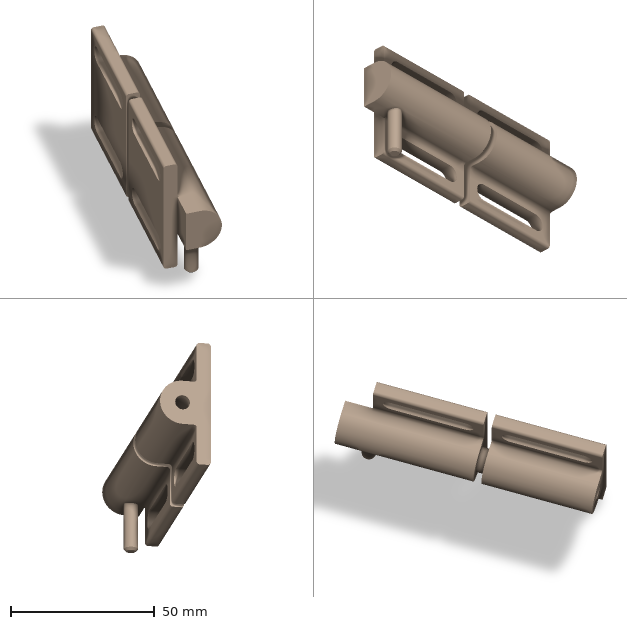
import cadquery as cq

total_length = 93.0
leaf_width = 40.0
leaf_gap = 3.0
leaf_height = 45.0
plate_thickness = 5.0
edge_radius = 1.0

barrel_radius = 8.0
axis_to_front = 10.0
plate_front = -axis_to_front
plate_back = plate_front + plate_thickness

slot_length = 32.7
slot_width = 6.5
slot_spacing = 30.5

bore_diameter = 5.2
shaft_diameter = 9.0
shaft_engagement = 20.0

pin_diameter = 5.0
pin_bottom = -25.0
pin_tip_chamfer = 0.8

right_leaf_start = leaf_width + leaf_gap
right_barrel_length = total_length - right_leaf_start
pin_x = right_leaf_start + leaf_width
shaft_start = leaf_width - shaft_engagement
shaft_length = leaf_gap + 2 * shaft_engagement


def x_cylinder(start, length, diameter):
    """Cylinder on the hinge axis."""
    return cq.Workplane("YZ", origin=(start, 0, 0)).circle(diameter / 2).extrude(length)


def make_barrel(start, length):
    """D-shaped bar: round at the back, flat against the plate."""
    return (
        cq.Workplane("YZ", origin=(start, 0, 0))
        .moveTo(plate_back, -barrel_radius)
        .lineTo(0, -barrel_radius)
        .threePointArc((barrel_radius, 0), (0, barrel_radius))
        .lineTo(plate_back, barrel_radius)
        .close()
        .extrude(length)
    )


def make_plate(start):
    """Plate with rounded long edges and two slots."""
    plate_depth = (plate_front + plate_back) / 2
    plate = (
        cq.Workplane("YZ", origin=(start, plate_depth, 0))
        .rect(plate_thickness, leaf_height)
        .extrude(leaf_width)
        .edges("|X")
        .fillet(edge_radius)
    )
    slots = (
        cq.Workplane("XZ", origin=(start + leaf_width / 2, plate_back, 0))
        .pushPoints([(0, slot_spacing / 2), (0, -slot_spacing / 2)])
        .slot2D(slot_length, slot_width)
        .extrude(plate_thickness)
    )
    return plate.cut(slots)


def make_corner_fillet(start, side):
    """Concave fillet between plate and barrel, above (side 1) or below (side -1)."""
    root_z = side * barrel_radius
    outer_z = root_z + side * edge_radius
    outer_y = plate_back + edge_radius
    block = (
        cq.Workplane("YZ", origin=(start, 0, 0))
        .center(plate_back + edge_radius / 2, root_z + side * edge_radius / 2)
        .rect(edge_radius, edge_radius)
        .extrude(leaf_width)
    )
    hollow = (
        cq.Workplane("YZ", origin=(start, 0, 0))
        .center(outer_y, outer_z)
        .circle(edge_radius)
        .extrude(leaf_width)
    )
    return block.cut(hollow)


def make_leaf(start, barrel_length):
    """Plate and barrel as one solid, bored for the shaft."""
    leaf = make_plate(start).union(make_barrel(start, barrel_length))
    for side in (1, -1):
        leaf = leaf.union(make_corner_fillet(start, side))
    return leaf.cut(shaft)


def make_locking_pin():
    """Upright pin reaching from below the plate to the hinge axis."""
    return (
        cq.Workplane("XY", origin=(pin_x, 0, pin_bottom))
        .circle(pin_diameter / 2)
        .extrude(-pin_bottom)
        .faces("<Z")
        .chamfer(pin_tip_chamfer)
    )


shaft = x_cylinder(shaft_start, shaft_length, shaft_diameter)
locking_pin = make_locking_pin()
left_leaf = make_leaf(0, leaf_width).cut(x_cylinder(0, leaf_width, bore_diameter))
right_leaf = make_leaf(right_leaf_start, right_barrel_length).cut(locking_pin)

result = cq.Compound.makeCompound(
    [left_leaf.val(), right_leaf.val(), shaft.val(), locking_pin.val()]
)